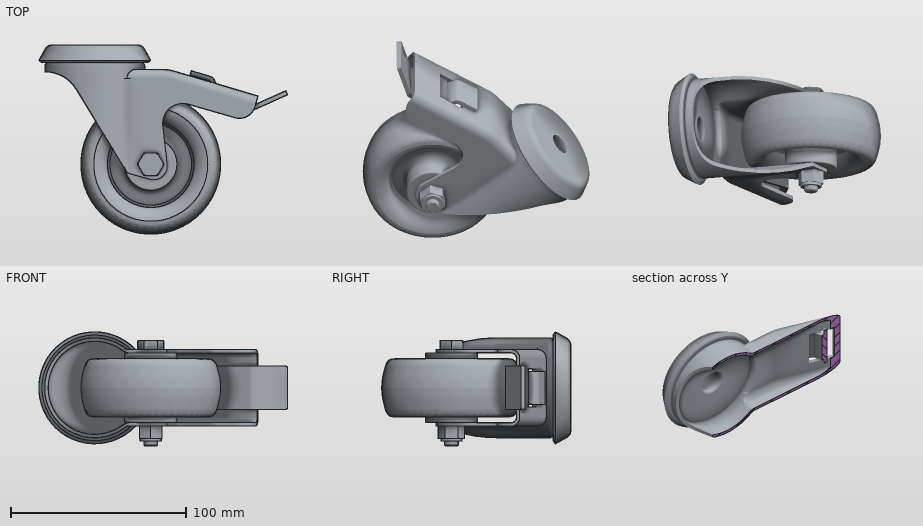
import cadquery as cq
import math


sheet = 2.0
axle_offset = 32.0
wheel_radius = 39.9
wheel_half_width = 16.6
hub_radius = 14.9
bolt_radius = 4.0
fork_half_width = 21.9
fork_inner_half = fork_half_width - sheet

head_top = 68.2
cap_radius = 32.0
cap_rim_y = 59.2
cap_bottom = 58.0
cap_bottom_radius = 30.1
cap_top_radius = 27.0
cap_top_fillet = 5.0
swivel_radius = 28.5
swivel_hole_radius = 6.0


front_edge_y = 52.7
front_edge_corner_x = -16.6
front_edge_radius = 20.6
toe = (18.6, -5.0)
toe_radius = 2.8
heel = (42.6, -11.6)
heel_radius = 7.8
throat = (36.9, 38.9)
throat_radius = 11.4
web_top = 54.1
web_bend_x = 42.0
web_bend_radius = 21.3
web_edge_radius = 5.1
plate_blend = 5.0
arm_slope = 16.5
arm_length = 53.4
arm_depth = 15.6
arm_end_radius = 9.2

web_root_radius = 2.8

slot_start_x = 61.8
slot_end_x = 76.7
slot_half_width = 10.8

lever_sheet = 2.5
lever_half_width = 12.5
lever_corner_radius = 1.4
tongue_half_width = 9.4
tongue_length = 11.9
tongue_bend_radius = 1.4
riser_slope = 68.0
riser_height = 6.4
riser_foot = (68.2, 41.6)
handle_bend = (89.7, 30.5)
handle_bend_radius = 3.8
handle_end = (110.0, 39.6)

rim_radius = 32.5
shoulder_radius = 38.2
shoulder_z = 10.6
dish_wall = (26.5, 12.8)
dish_radius = 24.7
dish_z = 5.4
disc_radius = 23.3
disc_half_width = 3.8
hub_root_fillet = 2.8
hub_end_fillet = 0.9

hex_flats = 13.0
bolt_head_height = 5.3
bolt_head_chamfer = 0.5
nut_height = 7.1
nut_collar_radius = 6.1
nut_collar_height = 1.4
bolt_end_z = -33.2
bolt_end_chamfer = 0.7

reach = 85.2


def along(point, degrees, distance):
    """Point at a distance from another one, in a direction of the XY plane."""
    angle = math.radians(degrees)
    return (point[0] + distance * math.cos(angle), point[1] + distance * math.sin(angle))


def rounded_prism(corners, half_width):
    """Prism centred on Z=0 over a polygon of (point, corner radius) pairs."""
    points = [point for point, _ in corners]
    prism = cq.Workplane("XY").workplane(offset=-half_width).polyline(points).close().extrude(2 * half_width)
    for point, radius in corners:
        if radius > 0:
            corner_edge = cq.selectors.NearestToPointSelector((point[0], point[1], 0))
            prism = prism.edges("|Z").edges(corner_edge).fillet(radius)
    return prism


def swivel_cylinder(radius, bottom, top):
    """Cylinder around the swivel axis."""
    return cq.Workplane("XZ", origin=(0, bottom, 0)).circle(radius).extrude(bottom - top)


def axle_cylinder(radius, bottom, top):
    """Cylinder around the wheel axle."""
    return cq.Workplane("XY", origin=(axle_offset, 0, bottom)).circle(radius).extrude(top - bottom)


web_bend = (web_bend_x, web_top)
arm_tip = along(web_bend, -arm_slope, arm_length)


def channel(inset):
    """Channel of the web and plates, its faces moved inwards by an inset."""
    down = -90 - arm_slope / 2
    bend = along(web_bend, down, inset / math.cos(math.radians(arm_slope / 2)))
    end = along(bend, -arm_slope, arm_length + 2 * inset)
    corners = [
        ((0, bend[1]), 0),
        (bend, web_bend_radius - inset),
        (end, 0),
        (along(end, -90 - arm_slope, reach), 0),
        ((0, -reach), 0),
    ]
    prism = rounded_prism(corners, fork_half_width - inset)
    rim = cq.selectors.BoxSelector((-1.4, bend[1] - 1.4, -reach), (bend[0], bend[1] + 1.4, reach))
    return prism.edges(rim).edges("|X").fillet(web_edge_radius - inset)


def fork_side_outline():
    """Prism over the side outline of the fork, open towards the head."""
    arm_corner = along(arm_tip, -90 - arm_slope, arm_depth)
    corners = [
        ((-reach, front_edge_y), 0),
        ((front_edge_corner_x, front_edge_y), front_edge_radius),
        (toe, toe_radius),
        (heel, heel_radius),
        (throat, throat_radius),
        (arm_corner, arm_end_radius),
        (along(arm_tip, 90 - arm_slope, reach), 0),
        ((-reach, reach), 0),
    ]
    return rounded_prism(corners, reach)


def swivel_cap():
    """Flared cap on top of the swivel cylinder."""
    half_section = [
        (0, cap_bottom),
        (cap_bottom_radius, cap_bottom),
        (cap_radius, cap_rim_y),
        (cap_top_radius, head_top),
        (0, head_top),
    ]
    cap = cq.Workplane("XY").polyline(half_section).close().revolve(360, (0, 0, 0), (0, 1, 0))
    return cap.faces(">Y").edges().fillet(cap_top_fillet)


def plate_creases(inset):
    """Round fillings of the creases between the cylinder and both plates, all faces inset."""
    blend = plate_blend + inset
    wall_z = fork_half_width - inset
    hollow_z = wall_z + blend
    hollow_x = math.sqrt((swivel_radius - inset + blend) ** 2 - hollow_z ** 2)
    touch = (swivel_radius - inset) / (swivel_radius - inset + blend)
    foot_z = wall_z - sheet
    outline = [
        (hollow_x * touch, hollow_z * touch),
        (hollow_x, hollow_z),
        (hollow_x, foot_z),
        (hollow_x * touch, foot_z),
    ]
    plan = cq.Workplane("XZ", origin=(0, web_top - web_edge_radius, 0))
    filling = plan.polyline(outline).close().extrude(reach)
    filling = filling.cut(plan.center(hollow_x, hollow_z).circle(blend).extrude(reach))
    return filling.union(filling.mirror("XY"))


def web_root():
    """Round filling of the crease between the inner cylinder wall and the underside of the web."""
    wall = swivel_radius - sheet
    underside = web_top - sheet
    section = (
        cq.Workplane("XY")
        .moveTo(wall - sheet, underside - sheet)
        .lineTo(wall + web_root_radius, underside - sheet)
        .lineTo(wall + web_root_radius, underside)
        .radiusArc((wall, underside + web_root_radius), web_root_radius)
        .lineTo(wall - sheet, underside + web_root_radius)
        .close()
    )
    ring = section.revolve(360, (0, 0, 0), (0, 1, 0))
    half_width = fork_half_width - web_edge_radius
    return ring.intersect(cq.Workplane("XY").box(reach, 2 * reach, 2 * half_width).translate((reach / 2, 0, 0)))


def make_fork():
    """Swivel head, cylinder, plates and braking arm in one piece."""
    shell = swivel_cylinder(swivel_radius, -reach, cap_bottom).faces(">Y").edges().fillet(sheet)
    shell = shell.union(channel(0)).union(plate_creases(0))
    hollow = swivel_cylinder(swivel_radius - sheet, -reach, cap_bottom - sheet).union(channel(sheet))
    hollow = hollow.union(plate_creases(sheet)).union(web_root())
    fork = shell.cut(hollow).intersect(fork_side_outline()).union(swivel_cap())
    slot_length = slot_end_x - slot_start_x
    slot = cq.Workplane("XY").box(slot_length, reach, 2 * slot_half_width)
    fork = fork.cut(slot.translate((slot_start_x + slot_length / 2, reach / 2, 0)))
    fork = fork.cut(swivel_cylinder(swivel_hole_radius, 0, reach))
    ceiling = cap_bottom - sheet
    hole_reach = swivel_hole_radius + sheet
    hole_edge = cq.selectors.BoxSelector(
        (-hole_reach, ceiling - sheet, -hole_reach), (hole_reach, ceiling + sheet, hole_reach), boundingbox=True
    )
    fork = fork.edges("%CIRCLE").edges(hole_edge).fillet(sheet)
    return fork.cut(axle_cylinder(bolt_radius, -reach, reach))


def make_wheel():
    """Tyre, dished disc and hub, turned around the axle."""
    half = (
        cq.Workplane("XZ")
        .moveTo(bolt_radius, 0)
        .lineTo(wheel_radius, 0)
        .spline(
            [(shoulder_radius, shoulder_z), (rim_radius, wheel_half_width)],
            tangents=[(0, 1), (-1, 0)],
            includeCurrent=True,
        )
        .threePointArc(dish_wall, (dish_radius, dish_z))
        .lineTo(disc_radius, disc_half_width)
        .lineTo(hub_radius + hub_root_fillet, disc_half_width)
        .tangentArcPoint((hub_radius, disc_half_width + hub_root_fillet), relative=False)
        .lineTo(hub_radius, fork_inner_half - hub_end_fillet)
        .tangentArcPoint((hub_radius - hub_end_fillet, fork_inner_half), relative=False)
        .lineTo(bolt_radius, fork_inner_half)
        .close()
        .revolve(360, (0, 0, 0), (0, 1, 0))
    )
    wheel = half.union(half.mirror("XY"))
    return wheel.translate((axle_offset, 0, 0))


def make_bolt():
    """Axle bolt with its lock nut."""
    hex_corners = hex_flats / math.cos(math.radians(30))
    head_top_z = fork_half_width + bolt_head_height
    head = (
        cq.Workplane("XY", origin=(axle_offset, 0, fork_half_width))
        .polygon(6, hex_corners).extrude(bolt_head_height)
    )
    crown = axle_cylinder(hex_corners / 2, fork_half_width, head_top_z).faces(">Z").chamfer(bolt_head_chamfer)
    head = head.intersect(crown)
    shank = axle_cylinder(bolt_radius, bolt_end_z, fork_half_width).faces("<Z").chamfer(bolt_end_chamfer)
    nut = (
        cq.Workplane("XY", origin=(axle_offset, 0, -fork_half_width))
        .transformed(rotate=(0, 0, 30)).polygon(6, hex_corners).extrude(-nut_height)
    )
    nut_end = -fork_half_width - nut_height
    collar = axle_cylinder(nut_collar_radius, nut_end - nut_collar_height, nut_end)
    return shank.union(head).union(nut).union(collar)


def offset_chain(points):
    """Chain of points moved by the sheet thickness to the left of its direction."""
    headings = []
    for start, end in zip(points, points[1:]):
        headings.append(math.degrees(math.atan2(end[1] - start[1], end[0] - start[0])))
    moved = [along(points[0], headings[0] + 90, lever_sheet)]
    for point, heading, following in zip(points[1:], headings, headings[1:]):
        half_turn = (following - heading) / 2
        mitre = lever_sheet / math.cos(math.radians(half_turn))
        moved.append(along(point, heading + half_turn + 90, mitre))
    moved.append(along(points[-1], headings[-1] + 90, lever_sheet))
    return moved


def strip(lower, upper, half_width):
    """Bent strip between two chains of (point, bend radius) pairs."""
    return rounded_prism(lower + upper[::-1], half_width)


def make_lever():
    """Foot lever: handle, plate below the web and a narrower tongue through the slot."""
    tongue_bend = along(riser_foot, 180 - riser_slope, riser_height)
    tongue_end = along(tongue_bend, 180 - arm_slope, tongue_length)
    chain = [tongue_end, tongue_bend, riser_foot, handle_bend, handle_end]
    lower_radii = [0, tongue_bend_radius, 0, handle_bend_radius, 0]
    upper_radii = [0, tongue_bend_radius + lever_sheet, 0, handle_bend_radius - lever_sheet, 0]
    lower = list(zip(chain, lower_radii))
    upper = list(zip(offset_chain(chain), upper_radii))
    foot = chain.index(riser_foot)
    lever = strip(lower[foot:], upper[foot:], lever_half_width)
    for side in (-1, 1):
        corner = (handle_end[0], handle_end[1], side * lever_half_width)
        corner_edge = cq.selectors.NearestToPointSelector(corner)
        lever = lever.edges("not |Z").edges(corner_edge).fillet(lever_corner_radius)
    return lever.union(strip(lower[:foot + 1], upper[:foot + 1], tongue_half_width))


fork = make_fork()
wheel = make_wheel()
bolt = make_bolt()
lever = make_lever()

result = cq.Compound.makeCompound([fork.val(), wheel.val(), bolt.val(), lever.val()])